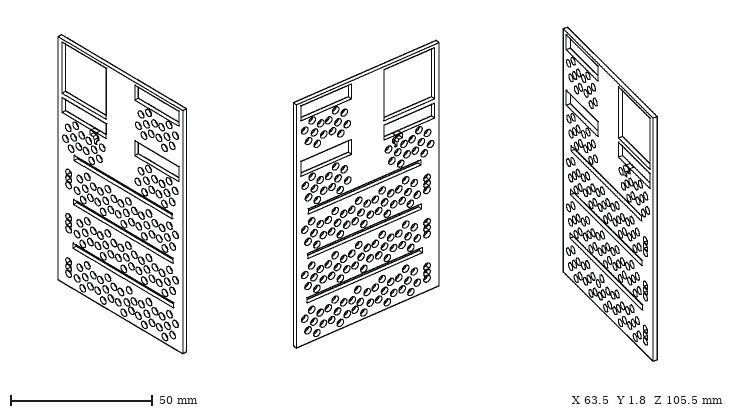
import cadquery as cq

PLATE_WIDTH = 63.5
PLATE_THICKNESS = 1.8
PLATE_HEIGHT = 105.5
CUT_DEPTH = 2 * PLATE_THICKNESS

WINDOW_WIDTH = 22.4
WINDOW_CENTER_X = 18.5
TALL_WINDOW_HEIGHT = 22.2
LOW_WINDOW_HEIGHT = 6.4
UPPER_WINDOW_TOP = 51.4
LOWER_WINDOW_TOP = 27.3

SLOT_CENTER_X = 1.4
SLOT_HEIGHT = 2.2
SLOT_CENTERS_Z = [4.2, -15.0, -34.1]
TOP_SLOT_LENGTH = 49.9
SLOT_LENGTH_STEP = 0.6

HOLE_DIAMETER = 2.8
HOLE_RADIUS = HOLE_DIAMETER / 2
CLUSTER_PITCH = 10.4
CLUSTER = {
    "top": (0, 0),
    "upper right": (3.1, -2.6),
    "upper left": (-3.8, -2.8),
    "middle": (-1.1, -5.6),
    "lower right": (1.6, -8.2),
    "lower left": (-5.2, -8.2),
    "bottom": (-2.3, -11.1),
}

BLOCK_CLUSTERS = 2
LEFT_BLOCK_X = -22.8
RIGHT_BLOCK_X = 14.2
UPPER_BLOCK_Z = 42.9
LOWER_BLOCK_Z = 18.6

BAND_CLUSTERS = 5
BAND_X = -16.9
BAND_PITCH = 19.2
UPPER_BAND_Z = -0.6
MIDDLE_BAND_Z = UPPER_BAND_Z - BAND_PITCH
LOWER_BAND_Z = MIDDLE_BAND_Z - BAND_PITCH

UPPER_BLOCK_SHIFTS = {
    (0, "upper right"): (0, -0.4),
    (0, "upper left"): (0, 0.2),
    (0, "lower right"): (-0.2, -0.2),
    (1, "upper right"): (0.2, -0.3),
}
LEFT_BLOCK_SHIFTS = {
    (1, "top"): (-0.1, 0.2),
    (1, "upper left"): (0, -0.3),
}
RIGHT_BLOCK_SHIFTS = {
    (0, "upper right"): (0, -0.2),
    (0, "lower left"): (-0.2, -0.1),
    (0, "bottom"): (0.3, 0),
    (1, "upper left"): (0.2, -0.1),
}
UPPER_BAND_SHIFTS = {
    (0, "lower left"): (0, -0.3),
    (0, "bottom"): (0.2, 0),
    (4, "upper right"): (0, 0.2),
}
MIDDLE_BAND_SHIFTS = {
    (1, "lower left"): (0.1, 0.3),
    (2, "lower left"): (0.1, 0.3),
    (2, "upper right"): (0, 0.2),
    (2, "bottom"): (0, -0.2),
    (3, "upper left"): (0, -0.3),
    (4, "upper left"): (0, -0.3),
    (4, "upper right"): (0, -0.2),
}
LOWER_BAND_SHIFTS = {
    (1, "upper right"): (0, 0.2),
    (2, "top"): (0.4, 0),
    (2, "upper right"): (-0.2, -1.0),
    (2, "middle"): (0.3, -0.2),
    (2, "lower left"): (0, 0.2),
    (3, "upper right"): (0, 0.2),
    (3, "lower left"): (-0.2, -0.4),
}

STACK_X = -26.4
STACK_DROP = 3.1
STACK_PITCH = 2.6
STACK_COUNT = 3
STACK_BAR = 0.4

NOTCH_LEFT = -15.4
NOTCH_RIGHT = -12.5
NOTCH_TOP = 20.6
NOTCH_BOTTOM = 18.5
NOTCH_CORNER_CHAMFER = 0.3
TAIL_LEFT = -13.1
TAIL_RIGHT = -12.1
TAIL_BOTTOM = 15.8


def rectangle_cutter(left, right, bottom, top):
    """Block reaching through the plate between the given X and Z limits."""
    block = cq.Workplane("XY").box(right - left, CUT_DEPTH, top - bottom)
    return block.translate(((left + right) / 2, 0, (bottom + top) / 2))


def window_cutter(center_x, top, height):
    half_width = WINDOW_WIDTH / 2
    return rectangle_cutter(center_x - half_width, center_x + half_width, top - height, top)


def hole_cutter(centers):
    """Round cutters reaching through the plate at the given (X, Z) centres."""
    plane = cq.Workplane("XZ", origin=(0, CUT_DEPTH / 2, 0))
    return plane.pushPoints(centers).circle(HOLE_RADIUS).extrude(CUT_DEPTH)


def cluster_row(start_x, top_z, count, shifts):
    """Hole centres of a row of clusters, including the shifted single holes."""
    centers = []
    for index in range(count):
        for name, (x, z) in CLUSTER.items():
            shift_x, shift_z = shifts.get((index, name), (0, 0))
            hole_x = start_x + index * CLUSTER_PITCH + x + shift_x
            centers.append((hole_x, top_z + z + shift_z))
    return centers


def stack_cutter(first_z):
    """Overlapping holes in a vertical line, with the bars between them left standing."""
    cutter = cq.Workplane("XY")
    for index in range(STACK_COUNT):
        cutter = cutter.union(hole_cutter([(STACK_X, first_z - index * STACK_PITCH)]))
    for index in range(STACK_COUNT - 1):
        bar_z = first_z - (index + 0.5) * STACK_PITCH
        bar = rectangle_cutter(
            STACK_X - HOLE_DIAMETER,
            STACK_X + HOLE_DIAMETER,
            bar_z - STACK_BAR / 2,
            bar_z + STACK_BAR / 2,
        )
        cutter = cutter.cut(bar)
    return cutter


result = cq.Workplane("XY").box(PLATE_WIDTH, PLATE_THICKNESS, PLATE_HEIGHT)
result = result.cut(window_cutter(-WINDOW_CENTER_X, UPPER_WINDOW_TOP, TALL_WINDOW_HEIGHT))
result = result.cut(window_cutter(WINDOW_CENTER_X, UPPER_WINDOW_TOP, LOW_WINDOW_HEIGHT))
for side in (-1, 1):
    result = result.cut(window_cutter(side * WINDOW_CENTER_X, LOWER_WINDOW_TOP, LOW_WINDOW_HEIGHT))

for index, center_z in enumerate(SLOT_CENTERS_Z):
    half_length = (TOP_SLOT_LENGTH + index * SLOT_LENGTH_STEP) / 2
    slot = rectangle_cutter(
        SLOT_CENTER_X - half_length,
        SLOT_CENTER_X + half_length,
        center_z - SLOT_HEIGHT / 2,
        center_z + SLOT_HEIGHT / 2,
    )
    result = result.cut(slot)

hole_centers = (
    cluster_row(RIGHT_BLOCK_X, UPPER_BLOCK_Z, BLOCK_CLUSTERS, UPPER_BLOCK_SHIFTS)
    + cluster_row(LEFT_BLOCK_X, LOWER_BLOCK_Z, BLOCK_CLUSTERS, LEFT_BLOCK_SHIFTS)
    + cluster_row(RIGHT_BLOCK_X, LOWER_BLOCK_Z, BLOCK_CLUSTERS, RIGHT_BLOCK_SHIFTS)
    + cluster_row(BAND_X, UPPER_BAND_Z, BAND_CLUSTERS, UPPER_BAND_SHIFTS)
    + cluster_row(BAND_X, MIDDLE_BAND_Z, BAND_CLUSTERS, MIDDLE_BAND_SHIFTS)
    + cluster_row(BAND_X, LOWER_BAND_Z, BAND_CLUSTERS, LOWER_BAND_SHIFTS)
)
result = result.cut(hole_cutter(hole_centers))

for band_z in (UPPER_BAND_Z, MIDDLE_BAND_Z, LOWER_BAND_Z):
    result = result.cut(stack_cutter(band_z - STACK_DROP))

notch = rectangle_cutter(NOTCH_LEFT, NOTCH_RIGHT, NOTCH_BOTTOM, NOTCH_TOP)
notch = notch.edges("|Y").edges("<X").edges(">Z").chamfer(NOTCH_CORNER_CHAMFER)
tail = rectangle_cutter(TAIL_LEFT, TAIL_RIGHT, TAIL_BOTTOM, LOWER_BLOCK_Z)
result = result.cut(notch).cut(tail)